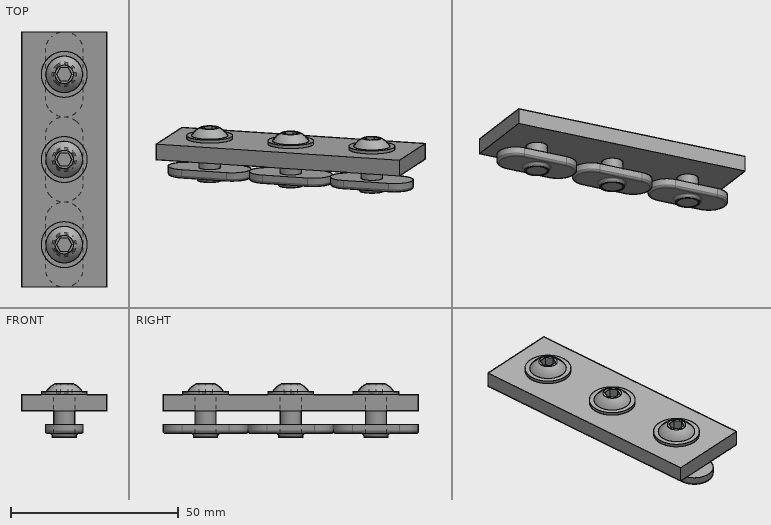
import cadquery as cq
import math

station_count = 3
station_pitch = 25.4
plate_width = 25.4
plate_length = station_count * station_pitch
plate_thickness = 4.8

screw_diameter = 6.35
screw_length = 12.7
flange_diameter = 13.7
flange_thickness = 0.9
head_height = 3.3
dome_base_radius = 5.45
dome_top_radius = 2.75
hex_across_flats = 3.97
socket_depth = 2.8

nut_width = 11.3
nut_length = station_pitch
bar_thickness = 2.7
nut_fillet = 0.7
nut_gap = 4.05
collar_diameter = 7.25

nut_top_z = -(plate_thickness + nut_gap)
bar_bottom_z = nut_top_z - bar_thickness

station_ys = [(i - (station_count - 1) / 2) * station_pitch for i in range(station_count)]


def make_plate():
    """Rectangular strip with a hole for each screw, the same diameter as its shank."""
    return (
        cq.Workplane("XY")
        .box(plate_width, plate_length, plate_thickness, centered=(True, True, False))
        .translate((0, 0, -plate_thickness))
        .faces(">Z")
        .workplane()
        .pushPoints([(0, y) for y in station_ys])
        .hole(screw_diameter)
    )


def make_screw(y):
    """Shank, flange and spherical dome turned about Z, with a hex socket in the top."""
    dome_height = head_height - flange_thickness
    sphere_drop = (dome_base_radius**2 - dome_top_radius**2 - dome_height**2) / (2 * dome_height)
    sphere_radius = math.hypot(dome_base_radius, sphere_drop)
    mid_height = dome_height / 2
    mid_radius = math.sqrt(sphere_radius**2 - (sphere_drop + mid_height) ** 2)

    turned = (
        cq.Workplane("XZ")
        .moveTo(0, -screw_length)
        .lineTo(screw_diameter / 2, -screw_length)
        .lineTo(screw_diameter / 2, 0)
        .lineTo(flange_diameter / 2, 0)
        .lineTo(flange_diameter / 2, flange_thickness)
        .lineTo(dome_base_radius, flange_thickness)
        .threePointArc((mid_radius, flange_thickness + mid_height), (dome_top_radius, head_height))
        .lineTo(0, head_height)
        .close()
        .revolve(360, (0, 0, 0), (0, 1, 0))
    )
    hex_across_corners = hex_across_flats / math.cos(math.pi / 6)
    socket = (
        cq.Workplane("XY")
        .workplane(offset=head_height - socket_depth)
        .polygon(6, hex_across_corners)
        .extrude(socket_depth)
    )
    return turned.cut(socket).translate((0, y, 0))


def make_nut(y):
    """Round-ended bar along Y with a rounded lower rim and a filleted collar."""
    bar = (
        cq.Workplane("XY")
        .workplane(offset=bar_bottom_z)
        .slot2D(nut_length, nut_width, 90)
        .extrude(bar_thickness)
        .faces("<Z")
        .edges()
        .fillet(nut_fillet)
    )
    collar_radius = collar_diameter / 2
    collar = (
        cq.Workplane("XZ")
        .moveTo(0, -screw_length)
        .lineTo(collar_radius, -screw_length)
        .lineTo(collar_radius, bar_bottom_z - nut_fillet)
        .radiusArc((collar_radius + nut_fillet, bar_bottom_z), nut_fillet)
        .lineTo(0, bar_bottom_z)
        .close()
        .revolve(360, (0, 0, 0), (0, 1, 0))
    )
    bore = (
        cq.Workplane("XY")
        .workplane(offset=-screw_length)
        .circle(screw_diameter / 2)
        .extrude(screw_length + nut_top_z)
    )
    return bar.union(collar).cut(bore).translate((0, y, 0))


plate = make_plate()
screws = [make_screw(y) for y in station_ys]
nuts = [make_nut(y) for y in station_ys]

result = cq.Compound.makeCompound(
    [
        plate.val(),
        *[screw.val() for screw in screws],
        *[nut.val() for nut in nuts],
    ]
)